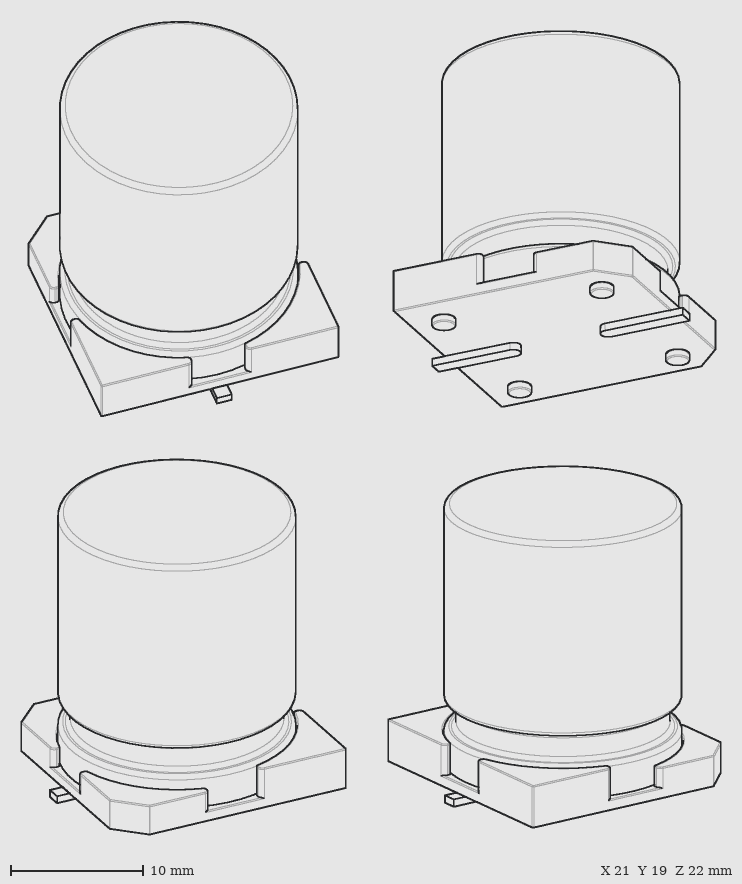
import cadquery as cq

BASE_BOTTOM = 0.6
NOTCH_FLOOR = 1.5
LOW_POST_TOP = 3.1
HIGH_POST_TOP = 3.98
BEAD_TOP = 3.87
NECK_BOTTOM = 4.58
NECK_TOP = 6.07
TOTAL_HEIGHT = 22.0

CAN_RADIUS = 18.0 / 2
NECK_RADIUS = 16.2 / 2
CAN_TOP_ROUND = 0.4

BASE_SIDE = 19.0
CORNER_CUT = 2.25
POCKET_RADIUS = 9.09
NOTCH_WIDTH = 4.31
POST_SIDE = (BASE_SIDE - NOTCH_WIDTH) / 2
NOTCH_OUTER_ROUND = 0.35
NOTCH_INNER_ROUND = 0.25
EDGE_ROUND = 0.09

FOOT_DIAMETER = 1.8
FOOT_OFFSET = 6.62
TERMINAL_WIDTH = 1.19
TERMINAL_OUTER_X = 21.0 / 2
TERMINAL_INNER_X = 3.39


def make_can():
    """Revolve the can with its rounded top and its necked groove above the base."""
    bead_round = (NECK_BOTTOM - BEAD_TOP) / 2
    shoulder_top = NECK_TOP + 2 * bead_round
    top_fillet_start = TOTAL_HEIGHT - CAN_TOP_ROUND
    convex_end = CAN_RADIUS - bead_round
    concave_end = NECK_RADIUS + bead_round
    lower_ledge = BEAD_TOP + bead_round
    upper_ledge = NECK_TOP + bead_round
    profile = (
        cq.Workplane("XZ")
        .moveTo(0, NOTCH_FLOOR)
        .lineTo(CAN_RADIUS, NOTCH_FLOOR)
        .lineTo(CAN_RADIUS, BEAD_TOP)
        .radiusArc((convex_end, lower_ledge), -bead_round)
        .lineTo(concave_end, lower_ledge)
        .radiusArc((NECK_RADIUS, NECK_BOTTOM), bead_round)
        .lineTo(NECK_RADIUS, NECK_TOP)
        .radiusArc((concave_end, upper_ledge), bead_round)
        .lineTo(convex_end, upper_ledge)
        .radiusArc((CAN_RADIUS, shoulder_top), -bead_round)
        .lineTo(CAN_RADIUS, top_fillet_start)
        .radiusArc((CAN_RADIUS - CAN_TOP_ROUND, TOTAL_HEIGHT), -CAN_TOP_ROUND)
        .lineTo(0, TOTAL_HEIGHT)
        .close()
    )
    return profile.revolve(360, (0, 0, 0), (0, 1, 0))


def make_plate():
    """Extrude the square plate, cut its two -X corners and round all its edges."""
    plate = (
        cq.Workplane("XY")
        .workplane(offset=BASE_BOTTOM)
        .rect(BASE_SIDE, BASE_SIDE)
        .extrude(NOTCH_FLOOR - BASE_BOTTOM)
    )
    plate = plate.edges("|Z and <X").chamfer(CORNER_CUT)
    return plate.edges().fillet(EDGE_ROUND)


def make_post(top, has_cut_corner):
    """Build the +X +Y corner post, hollowed around the can, with a rounded rim."""
    start = (BASE_BOTTOM + NOTCH_FLOOR) / 2
    half_notch = NOTCH_WIDTH / 2
    corner = cq.Workplane("XY").workplane(offset=start)
    post = corner.moveTo(half_notch, half_notch).rect(POST_SIDE, POST_SIDE, centered=False)
    post = post.extrude(top - start)

    outer_corner = post.edges("|Z and >X and >Y")
    if has_cut_corner:
        post = outer_corner.chamfer(CORNER_CUT)
        post = post.edges("|Z").edges(">(1, 1, 0)").fillet(EDGE_ROUND)
    else:
        post = outer_corner.fillet(EDGE_ROUND)

    post = post.edges("|Z and ((<X and >Y) or (>X and <Y))").fillet(NOTCH_OUTER_ROUND)
    post = post.cut(corner.circle(POCKET_RADIUS).extrude(top - start))
    post = post.edges("|Z and (<X or <Y)").fillet(NOTCH_INNER_ROUND)
    return post.faces(">Z").edges().fillet(EDGE_ROUND)


def make_base():
    """Join the plate with two low posts at the cut corners and two full-cornered high posts."""
    low_post = make_post(LOW_POST_TOP, True).mirror("YZ")
    high_post = make_post(HIGH_POST_TOP, False)
    base = make_plate()
    for post in (low_post, high_post):
        base = base.union(post).union(post.mirror("XZ"))
    return base


def make_feet():
    """Build the four round support feet, rounded at both rims."""
    return (
        cq.Workplane("XY")
        .rect(2 * FOOT_OFFSET, 2 * FOOT_OFFSET, forConstruction=True)
        .vertices()
        .circle(FOOT_DIAMETER / 2)
        .extrude(BASE_BOTTOM)
        .edges()
        .fillet(EDGE_ROUND)
    )


def make_terminal():
    """Build the flat +X terminal, with a round inner end and a square outer end."""
    half_width = TERMINAL_WIDTH / 2
    arc_start = TERMINAL_INNER_X + half_width
    return (
        cq.Workplane("XY")
        .moveTo(TERMINAL_OUTER_X, -half_width)
        .lineTo(TERMINAL_OUTER_X, half_width)
        .lineTo(arc_start, half_width)
        .threePointArc((TERMINAL_INNER_X, 0), (arc_start, -half_width))
        .close()
        .extrude(BASE_BOTTOM)
    )


terminal = make_terminal()
result = make_base().union(make_can()).union(make_feet())
result = result.union(terminal).union(terminal.mirror("YZ")).clean()